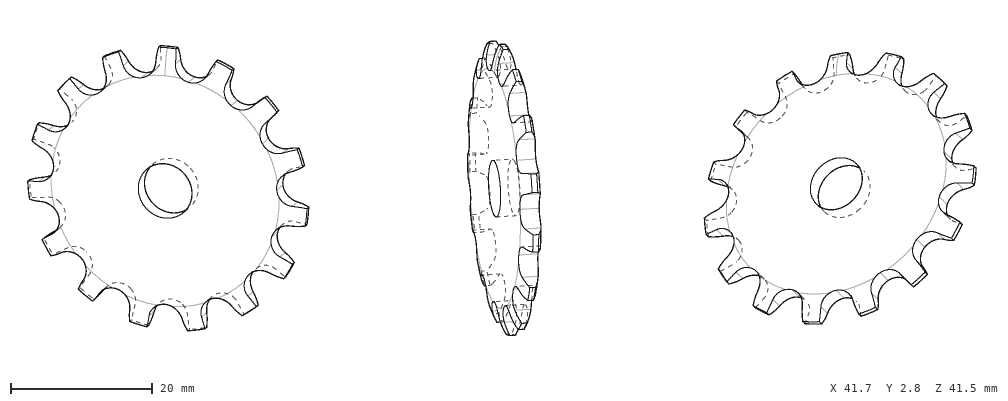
import cadquery as cq
import math

tooth_count = 15
chain_pitch = 8.0
roller_diameter = 5.0
width = 2.8
bore_diameter = 8.0
tip_radius = 20.85

face_radius = 17.0
side_radius = chain_pitch

seat_radius = 0.505 * roller_diameter
seat_half_angle = math.radians(78)
flank_radius = 12.0
flank_sweep = math.radians(16)
cutter_margin = 1.0

tooth_angle = 360 / tooth_count
pitch_radius = chain_pitch / 2 / math.sin(math.pi / tooth_count)
root_radius = pitch_radius - roller_diameter / 2
seat_centre = root_radius + seat_radius


def side_height(radius):
    """Half thickness of the toothed rim at a given distance from the axis."""
    reach = radius - face_radius
    return width / 2 - side_radius + math.sqrt(side_radius**2 - reach**2)


def make_blank():
    """Disc with rounded rim sides and a bore, revolved about the Y axis."""
    bore_radius = bore_diameter / 2
    half_width = width / 2
    tip_half = side_height(tip_radius)
    middle_radius = (face_radius + tip_radius) / 2
    middle_half = side_height(middle_radius)
    return (
        cq.Workplane("YZ")
        .moveTo(-half_width, bore_radius)
        .lineTo(-half_width, face_radius)
        .threePointArc((-middle_half, middle_radius), (-tip_half, tip_radius))
        .lineTo(tip_half, tip_radius)
        .threePointArc((middle_half, middle_radius), (half_width, face_radius))
        .lineTo(half_width, bore_radius)
        .close()
        .revolve(360, (0, 0), (1, 0))
    )


def seat_point(angle):
    """Point (x, z) on the roller seat, at an angle from the gap bottom."""
    return (
        seat_radius * math.sin(angle),
        seat_centre - seat_radius * math.cos(angle),
    )


def flank_point(sweep):
    """Point (x, z) on the right-hand flank, at a sweep from the seat end."""
    reach = seat_radius + flank_radius
    centre_x = reach * math.sin(seat_half_angle)
    centre_z = seat_centre - reach * math.cos(seat_half_angle)
    angle = seat_half_angle - sweep
    return (
        centre_x - flank_radius * math.sin(angle),
        centre_z + flank_radius * math.cos(angle),
    )


def mirrored(point):
    """The matching point on the left-hand side of the gap."""
    return (-point[0], point[1])


def make_gap_cutter():
    """Prism with the outline of the tooth gap centred on +Z."""
    seat_end = seat_point(seat_half_angle)
    seat_middle = seat_point(seat_half_angle / 2)
    flank_end = flank_point(flank_sweep)
    flank_middle = flank_point(flank_sweep / 2)
    top = tip_radius + cutter_margin
    return (
        cq.Workplane("XZ", origin=(0, width, 0))
        .moveTo(*seat_point(0))
        .threePointArc(seat_middle, seat_end)
        .threePointArc(flank_middle, flank_end)
        .lineTo(flank_end[0], top)
        .lineTo(-flank_end[0], top)
        .lineTo(*mirrored(flank_end))
        .threePointArc(mirrored(flank_middle), mirrored(seat_end))
        .threePointArc(mirrored(seat_middle), seat_point(0))
        .close()
        .extrude(2 * width, clean=False)
    )


result = make_blank()
gap_cutter = make_gap_cutter()
for gap in range(tooth_count):
    gap_angle = (gap + 0.5) * tooth_angle
    result = result.cut(gap_cutter.rotate((0, 0, 0), (0, 1, 0), gap_angle), clean=False)